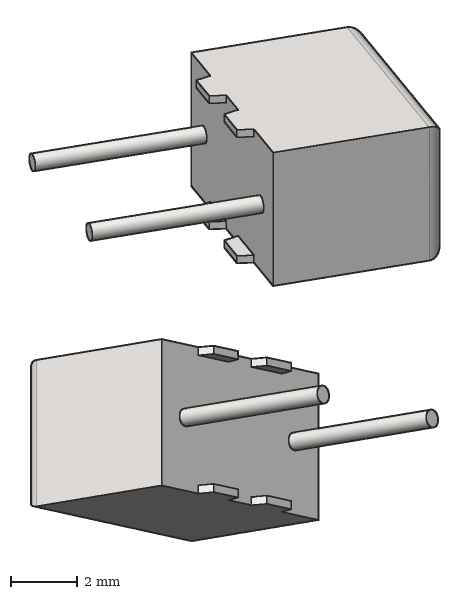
import cadquery as cq

case_width = 7.2
case_depth = 5.5
case_height = 4.5
rear_radius = 0.5

tab_spacing = 2.44
tab_base_width = 1.4
tab_tip_width = 1.12
tab_length = 0.5
tab_thickness = 0.25

lead_spacing = 5.0
lead_diameter = 0.55
lead_length = 11.0 - case_depth


def make_tab(center_x, bottom_z):
    """One tapered tab pointing toward -Y from the front face."""
    return (
        cq.Workplane("XY", origin=(center_x, 0, bottom_z))
        .moveTo(-tab_base_width / 2, 0)
        .lineTo(-tab_tip_width / 2, -tab_length)
        .lineTo(tab_tip_width / 2, -tab_length)
        .lineTo(tab_base_width / 2, 0)
        .close()
        .extrude(tab_thickness)
    )


def make_case():
    """Rounded box with two tabs along each long edge of the front face."""
    case = (
        cq.Workplane("XY")
        .box(case_width, case_depth, case_height, centered=(True, False, True))
        .faces(">Y")
        .edges()
        .fillet(rear_radius)
    )
    for center_x in (-tab_spacing / 2, tab_spacing / 2):
        for bottom_z in (-case_height / 2, case_height / 2 - tab_thickness):
            case = case.union(make_tab(center_x, bottom_z))
    return case


def make_lead(center_x):
    """One straight lead, standing on the front face and pointing toward -Y."""
    return (
        cq.Workplane("XZ", origin=(center_x, 0, 0))
        .circle(lead_diameter / 2)
        .extrude(lead_length)
    )


housing = make_case()

leads = []
for lead_x in (-lead_spacing / 2, lead_spacing / 2):
    leads.append(make_lead(lead_x).val())

result = cq.Compound.makeCompound([housing.val(), *leads])